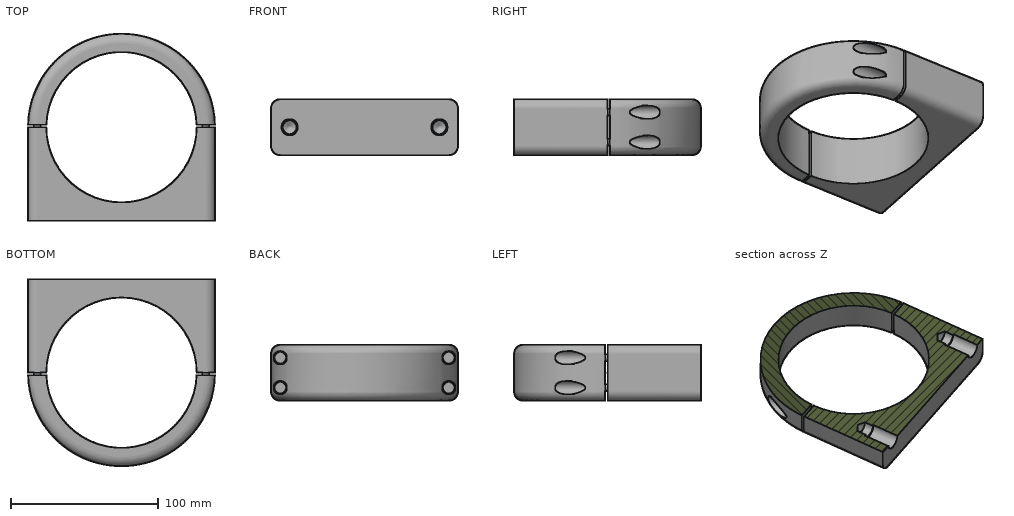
import cadquery as cq
import math


outer_radius = 63.5
bore_radius = 50.927
width = 38.1
edge_radius = 6.35
cap_gap = 1.5875

screw_x = 57.15
screw_z = 10.16
screw_diameter = 4.826
head_diameter = 7.925
head_height = screw_diameter
screw_depth_in_base = 15.0

counterbore_diameter = 9.13
counterbore_floor_y = 6.35

mount_x = 50.8
mount_diameter = 11.1125
mount_depth = 19.05
tap_drill_diameter = 9.347
tap_drill_depth = 25.4
drill_point_angle = 118.0

screw_places = [(x, z) for x in (-screw_x, screw_x) for z in (-screw_z, screw_z)]


def rod(x, z, diameter, y_start, y_end):
    """Cylinder along +Y from y_start to y_end."""
    return cq.Workplane(
        cq.Solid.makeCylinder(diameter / 2, y_end - y_start, cq.Vector(x, y_start, z), cq.Vector(0, 1, 0))
    )


def make_bore():
    return cq.Workplane("XY").circle(bore_radius).extrude(width / 2, both=True)


def make_mounting_hole(x):
    """Stepped blind hole with a drill point, opening in the bottom face."""
    bottom_y = -outer_radius
    tap_radius = tap_drill_diameter / 2
    point_height = tap_radius / math.tan(math.radians(drill_point_angle / 2))
    tap_end_y = bottom_y + tap_drill_depth
    return (
        cq.Workplane("XY")
        .moveTo(x, bottom_y)
        .lineTo(x + mount_diameter / 2, bottom_y)
        .lineTo(x + mount_diameter / 2, bottom_y + mount_depth)
        .lineTo(x + tap_radius, bottom_y + mount_depth)
        .lineTo(x + tap_radius, tap_end_y)
        .lineTo(x, tap_end_y + point_height)
        .close()
        .revolve(360, (x, 0, 0), (x, 1, 0))
    )


def make_base():
    base = (
        cq.Workplane("XZ")
        .rect(2 * outer_radius, width)
        .extrude(outer_radius)
        .edges("|Y")
        .fillet(edge_radius)
        .cut(make_bore())
    )
    for x in (-mount_x, mount_x):
        base = base.cut(make_mounting_hole(x))
    for x, z in screw_places:
        base = base.cut(rod(x, z, screw_diameter, -screw_depth_in_base, 0))
    return base


def make_cap():
    upper_half = (
        cq.Workplane("XY")
        .box(2 * outer_radius, outer_radius, width, centered=(True, False, True))
        .translate((0, cap_gap, 0))
    )
    cap = (
        cq.Workplane("XY")
        .circle(outer_radius)
        .extrude(width / 2, both=True)
        .edges("%CIRCLE")
        .fillet(edge_radius)
        .cut(make_bore())
        .intersect(upper_half)
    )
    for x, z in screw_places:
        cap = cap.cut(rod(x, z, screw_diameter, 0, counterbore_floor_y))
        cap = cap.cut(rod(x, z, counterbore_diameter, counterbore_floor_y, outer_radius))
    return cap


def make_screw(x, z):
    """Cap screw with its head seated on the counterbore floor."""
    head_top_y = counterbore_floor_y + head_height
    shank = rod(x, z, screw_diameter, -screw_depth_in_base, counterbore_floor_y)
    head = rod(x, z, head_diameter, counterbore_floor_y, head_top_y)
    return shank.union(head)


base = make_base()
cap = make_cap()
screws = [make_screw(x, z) for x, z in screw_places]

result = cq.Compound.makeCompound([base.val(), cap.val(), *[screw.val() for screw in screws]])